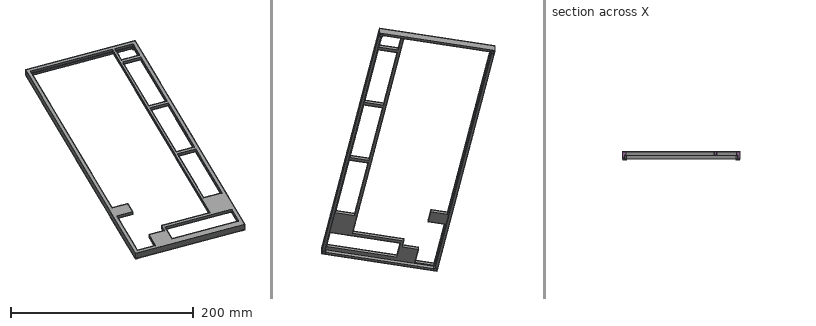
import cadquery as cq

LENGTH = 324.5
WIDTH = 129.0
FRAME_HEIGHT = 8.0
FOOT_HEIGHT = 1.0
PLATE_THICKNESS = 4.0
RIM = 4.2
WALL = 3.0

WINDOW_DEPTH = 21.5
ROW_BAR = 3.0
WINDOW_BAR = 4.0
END_WINDOW_LENGTH = 19.5
WINDOW_LENGTH = 77.2
LONG_WINDOW_COUNT = 3

SLOT_LEFT = 296.0
SLOT_LENGTH = 20.5
SLOT_DEPTH = 78.5
SLOT_BAR = 4.0
SLOT_END_BAR = 3.0

STEP_X = 301.0
STEP_Y = 25.3
TAB_LEFT = 245.2
TAB_WIDTH = 14.5
TAB_LENGTH = 18.5

FOOT_DIAMETER = 4.0
FOOT_INSET = 2.5

row_back = WIDTH - RIM
row_front = row_back - WINDOW_DEPTH
main_back = row_front - ROW_BAR
main_right = SLOT_LEFT - SLOT_BAR
slot_front = row_back - SLOT_DEPTH
bar_front = slot_front - SLOT_END_BAR
plate_bottom = FRAME_HEIGHT - PLATE_THICKNESS


def block(left, front, length, depth, bottom, height):
    """Box placed by its minimum corner."""
    return cq.Workplane("XY").box(length, depth, height, centered=False).translate((left, front, bottom))


def plate_opening(left, front, length, depth):
    """Rectangular cutter through the plate."""
    return block(left, front, length, depth, 0, FRAME_HEIGHT)


def main_opening():
    """Cutter for the large opening, stepped at its right and notched by the tab."""
    tab_right = TAB_LEFT + TAB_WIDTH
    tab_back = RIM + TAB_LENGTH
    outline = [
        (RIM, RIM),
        (TAB_LEFT, RIM),
        (TAB_LEFT, tab_back),
        (tab_right, tab_back),
        (tab_right, RIM),
        (LENGTH - RIM, RIM),
        (LENGTH - RIM, STEP_Y),
        (STEP_X, STEP_Y),
        (STEP_X, bar_front),
        (main_right, bar_front),
        (main_right, main_back),
        (RIM, main_back),
    ]
    return cq.Workplane("XY").polyline(outline).close().extrude(FRAME_HEIGHT)


def plate():
    """Thin top plate with all its openings."""
    body = block(0, 0, LENGTH, WIDTH, plate_bottom, PLATE_THICKNESS)
    body = body.cut(main_opening())
    body = body.cut(plate_opening(SLOT_LEFT, slot_front, SLOT_LENGTH, SLOT_DEPTH))

    left = RIM
    for window_length in [END_WINDOW_LENGTH] + [WINDOW_LENGTH] * LONG_WINDOW_COUNT:
        body = body.cut(plate_opening(left, row_front, window_length, WINDOW_DEPTH))
        left += window_length + WINDOW_BAR
    return body


def wall():
    """Outer wall below the plate, open inside."""
    outer = block(0, 0, LENGTH, WIDTH, 0, plate_bottom)
    inner = block(WALL, WALL, LENGTH - 2 * WALL, WIDTH - 2 * WALL, 0, plate_bottom)
    return outer.cut(inner)


def feet():
    """Corner posts that run from the plate down past the wall as feet."""
    return (
        cq.Workplane("XY", origin=(LENGTH / 2, WIDTH / 2, -FOOT_HEIGHT))
        .rect(LENGTH - 2 * FOOT_INSET, WIDTH - 2 * FOOT_INSET, forConstruction=True)
        .vertices()
        .circle(FOOT_DIAMETER / 2)
        .extrude(plate_bottom + FOOT_HEIGHT)
    )


result = plate().union(wall()).union(feet())